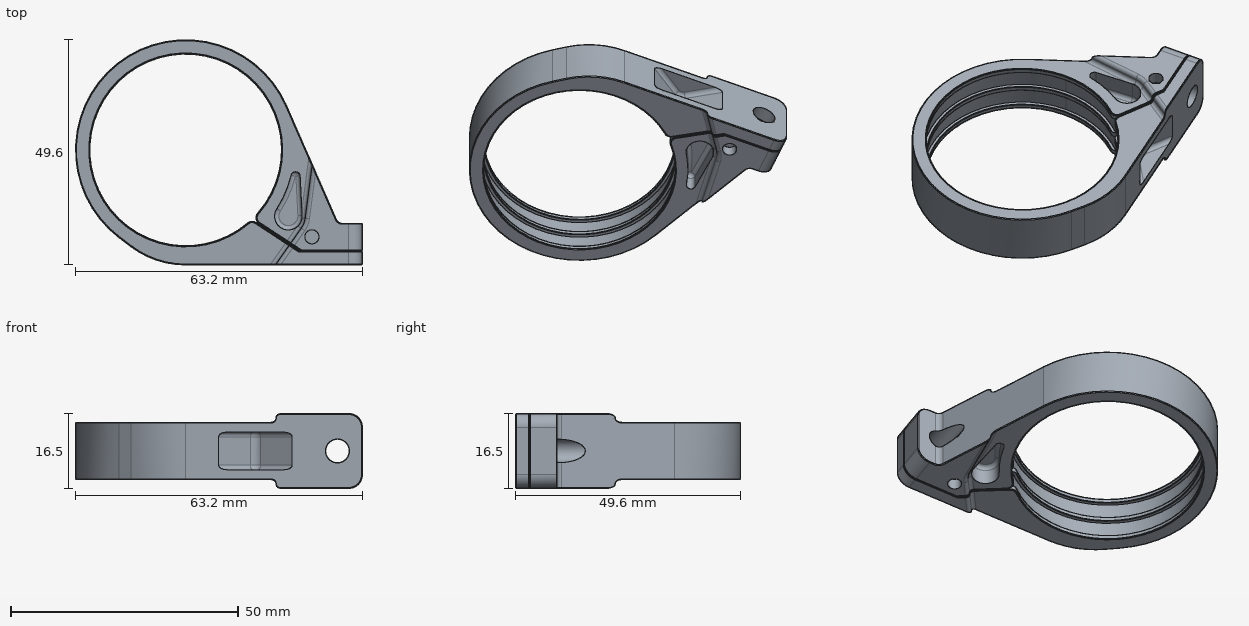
import cadquery as cq
import math

ring_radius = 24.25
bore_radius = 21.1
ring_height = 12.6
edge_chamfer = 0.2
rim_chamfer = 0.1

base_y = -25.3
belly_radius = 20.0
end_x = 38.9
lug_height = 16.5
lug_top_y = -16.15
lug_corner_radius = 3.0
flank_normal_angle = 23.6
flank_fillet = 1.5

step_corner = (26.1, -16.2)
step_lower_slope = 54.9
step_upper_slope = 82.5
step_corner_radius = 5.0
step_fillet = 0.95

slit_width = 0.2
slit_y = -22.15
slit_bend_x = 25.05
slit_inner_length = 15.15
slit_angle = 33.3
mouth_fillet = 1.5

lip_height = 1.2
groove_depth = 0.75

bolt_x = 33.4
bolt_diameter = 5.2
pin_center = (27.75, -19.1)
pin_diameter = 3.1
pin_depth = 3.0

teardrop_wall = 2.8
teardrop_small_radius = 1.0
teardrop_large_radius = 3.0
teardrop_small_y = -5.8
teardrop_large_y = -14.6
teardrop_depth = 5.05
teardrop_floor_fillet = 0.95

vee_center_x = 15.35
vee_half_length = 8.1
vee_wall_angle = 34.0
vee_height = 8.25
vee_root_radius = 2.0
vee_edge_fillet = 1.0

far = 126.2


def polar(radius, degrees):
    angle = math.radians(degrees)
    return (radius * math.cos(angle), radius * math.sin(angle))


def shifted(point, radius, degrees):
    dx, dy = polar(radius, degrees)
    return (point[0] + dx, point[1] + dy)


def nearest_to(point):
    return cq.selectors.NearestToPointSelector(point)


def prism(sketch, height):
    """Extrude symmetrically about the XY plane."""
    return sketch.extrude(height).translate((0, 0, -height / 2))


def make_outline():
    belly_center = (0, base_y + belly_radius)
    side_angle = 180 + math.degrees(math.asin((ring_radius - belly_radius) / -belly_center[1]))
    belly_middle_angle = (side_angle + 270) / 2
    normal_x, normal_y = polar(1, flank_normal_angle)
    flank_foot = ((ring_radius - normal_y * lug_top_y) / normal_x, lug_top_y)
    ring_middle_angle = (flank_normal_angle + side_angle) / 2

    outline = (
        cq.Workplane("XY")
        .moveTo(0, base_y)
        .lineTo(end_x, base_y)
        .lineTo(end_x, lug_top_y)
        .lineTo(*flank_foot)
        .lineTo(*polar(ring_radius, flank_normal_angle))
        .threePointArc(polar(ring_radius, ring_middle_angle), polar(ring_radius, side_angle))
        .lineTo(*shifted(belly_center, belly_radius, side_angle))
        .threePointArc(shifted(belly_center, belly_radius, belly_middle_angle), (0, base_y))
        .close()
    )
    body = prism(outline, lug_height)
    body = body.edges(nearest_to((*flank_foot, 0))).fillet(flank_fillet)
    return body.edges("|Y and >X").fillet(lug_corner_radius)


def make_step_envelope():
    """Slab of ring height joined to a taller slab, with an S-shaped blend at the step."""
    start = shifted(step_corner, -far, step_lower_slope)
    finish = shifted(step_corner, far, step_upper_slope)
    tall_plan = cq.Workplane("XY").polyline([start, step_corner, finish, (2 * far, 0)]).close()
    tall_slab = prism(tall_plan, lug_height)
    tall_slab = tall_slab.edges(nearest_to((*step_corner, 0))).fillet(step_corner_radius)
    envelope = cq.Workplane("XY").box(3 * far, 3 * far, ring_height).union(tall_slab)
    for height in (lug_height, ring_height):
        for side in (1, -1):
            corner_arc = nearest_to((*step_corner, side * height / 2))
            envelope = envelope.edges(corner_arc).fillet(step_fillet)
    return envelope


def make_bore():
    return prism(cq.Workplane("XY").circle(bore_radius), lug_height)


def make_slit():
    """Slit from inside the bore to the end of the lug, with one bend."""
    bend = (slit_bend_x, slit_y)
    inner_end = shifted(bend, slit_inner_length, 180 - slit_angle)
    path = cq.Workplane("XY").polyline([inner_end, bend, (2 * end_x, slit_y)])
    return prism(path.offset2D(slit_width / 2), lug_height)


def make_mouth_point():
    """Point where the slit's centre line meets the bore."""
    normal_angle = 90 - slit_angle
    normal_x, normal_y = polar(1, normal_angle)
    offset = slit_bend_x * normal_x + slit_y * normal_y
    return polar(bore_radius, normal_angle - math.degrees(math.acos(offset / bore_radius)))


def make_grooves():
    """Two equal grooves with chamfered mouths, leaving a lip at each rim and one in the middle."""
    groove_height = (ring_height - 3 * lip_height) / 2
    groove_middle = (lip_height + groove_height) / 2
    half_height = groove_height / 2
    floor_radius = bore_radius + groove_depth
    mouth_radius = bore_radius - rim_chamfer
    mouth_half_height = half_height + 2 * rim_chamfer
    throat_radius = bore_radius + rim_chamfer
    profile = [
        (mouth_radius, -mouth_half_height),
        (throat_radius, -half_height),
        (floor_radius, -half_height),
        (floor_radius, half_height),
        (throat_radius, half_height),
        (mouth_radius, mouth_half_height),
    ]
    groove = cq.Workplane("XZ").polyline(profile).close().revolve(360, (0, 0, 0), (0, 1, 0))
    return [groove.translate((0, 0, side * groove_middle)) for side in (1, -1)]


def make_teardrop():
    """Pocket whose inner side runs concentric with the bore, cut down from above."""
    inner_radius = bore_radius + teardrop_wall

    def end_center(end_radius, y):
        return (math.sqrt((inner_radius + end_radius) ** 2 - y**2), y)

    small = end_center(teardrop_small_radius, teardrop_small_y)
    large = end_center(teardrop_large_radius, teardrop_large_y)
    small_angle = math.degrees(math.atan2(small[1], small[0]))
    large_angle = math.degrees(math.atan2(large[1], large[0]))
    span = math.hypot(small[0] - large[0], small[1] - large[1])
    axis_angle = math.degrees(math.atan2(small[1] - large[1], small[0] - large[0]))
    side_angle = axis_angle - math.degrees(
        math.acos((teardrop_large_radius - teardrop_small_radius) / span)
    )
    small_middle = (side_angle + small_angle + 180) / 2
    large_middle = (side_angle + large_angle - 180) / 2

    floor_z = ring_height / 2 - teardrop_depth
    return (
        cq.Workplane("XY", origin=(0, 0, floor_z))
        .moveTo(*polar(inner_radius, large_angle))
        .threePointArc(
            polar(inner_radius, (small_angle + large_angle) / 2), polar(inner_radius, small_angle)
        )
        .threePointArc(
            shifted(small, teardrop_small_radius, small_middle),
            shifted(small, teardrop_small_radius, side_angle),
        )
        .lineTo(*shifted(large, teardrop_large_radius, side_angle))
        .threePointArc(
            shifted(large, teardrop_large_radius, large_middle),
            polar(inner_radius, large_angle),
        )
        .close()
        .extrude(lug_height)
        .faces("<Z")
        .edges()
        .fillet(teardrop_floor_fillet)
    )


def make_vee_pocket():
    """V-shaped pocket, started outside the flat face so that its mouth stays sharp."""
    slope = math.tan(math.radians(vee_wall_angle))
    overshoot = vee_root_radius
    root = (vee_center_x, base_y + vee_half_length * slope)
    half_mouth = vee_half_length + overshoot / slope
    mouth_y = base_y - overshoot
    plan = cq.Workplane("XY").polyline(
        [(vee_center_x - half_mouth, mouth_y), (vee_center_x + half_mouth, mouth_y), root]
    ).close()
    pocket = prism(plan, vee_height)
    pocket = pocket.edges(nearest_to((*root, 0))).fillet(vee_root_radius)
    for side in (1, -1):
        pocket = pocket.edges(nearest_to((*root, side * vee_height / 2))).fillet(vee_edge_fillet)
    return pocket


def make_bolt_hole():
    start = cq.Workplane("XZ", origin=(bolt_x, 0, 0))
    return start.circle(bolt_diameter / 2).extrude(far)


def make_pin_hole():
    floor_z = lug_height / 2 - pin_depth
    floor = cq.Workplane("XY", origin=(*pin_center, floor_z))
    return floor.circle(pin_diameter / 2).extrude(lug_height)


body = make_outline().intersect(make_step_envelope())
body = body.edges(nearest_to((-ring_radius, 0, ring_height / 2))).chamfer(edge_chamfer)
body = body.cut(make_bore()).cut(make_slit())

mouth_point = make_mouth_point()
for side in (1, -1):
    mouth_corner = shifted(mouth_point, side * slit_width / 2, 90 - slit_angle)
    body = body.edges(nearest_to((*mouth_corner, 0))).fillet(mouth_fillet)
for side in (1, -1):
    body = body.edges(nearest_to((0, 0, side * ring_height / 2))).chamfer(rim_chamfer)

for groove in make_grooves():
    body = body.cut(groove)
for pocket in (make_teardrop(), make_pin_hole()):
    body = body.cut(pocket).cut(pocket.mirror("XY"))
result = body.cut(make_vee_pocket()).cut(make_bolt_hole())